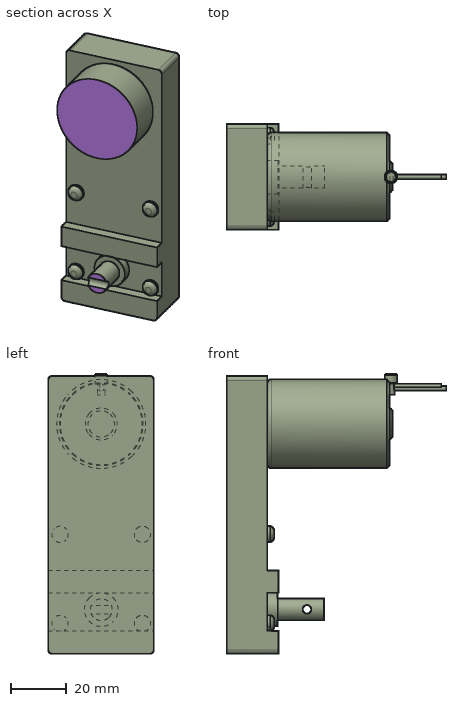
import cadquery as cq

HOUSING_DEPTH = 14.7
HOUSING_WIDTH = 38.0
HOUSING_HEIGHT = 99.9
CORNER_RADIUS = 1.5

FOOT_FRONT_X = 18.7
LOWER_FOOT_TOP_Z = 8.3
UPPER_FOOT_HEIGHT = 8.0

SHAFT_Z = 16.0
SHAFT_RADIUS = 3.9
SHAFT_END_X = 35.0
HUB_RADIUS = 6.0
HUB_FRONT_X = 18.3
PIN_HOLE_RADIUS = 1.5
PIN_HOLE_X = 28.9
UPPER_FOOT_BOTTOM_Z = SHAFT_Z + HUB_RADIUS

SCREW_RADIUS = 2.9
SCREW_RIM_HEIGHT = 1.0
SCREW_DOME_HEIGHT = 1.5
SCREW_TOP_RADIUS = 1.2
DOME_MID_FRACTION = 0.65
SCREW_Y = 14.8
SCREW_HEIGHTS = (11.1, 43.1)

MOTOR_Z = 82.7
MOTOR_RADIUS = 16.0
MOTOR_END_X = 58.6
MOTOR_ROUNDING = 1.3
MOTOR_CHAMFER = 1.0
BOSS_RADIUS = 5.7
BOSS_HEIGHT = 1.1
BOSS_CHAMFER = 1.0

TERMINAL_X = 59.1
STEM_RADIUS = 1.4
STEM_BOTTOM_Z = 93.1
HEAD_RADIUS = 2.3
HEAD_TOP_Z = 100.6
HEAD_BOTTOM_Z = 97.0
HEAD_TOP_CHAMFER = 0.5
HEAD_BOTTOM_CHAMFER = 0.4
LEAD_RADIUS = 0.9
LOWER_LEAD_Z = 95.4
LEAD_START_X = TERMINAL_X + STEM_RADIUS / 3
LOWER_LEAD_END_X = 79.0
LEAD_OFFSET_Z = 0.8
LEAD_STEP_X = 1.8


def rod_along_x(start_x, end_x, radius, z):
    """Cylinder parallel to X between two X positions."""
    return cq.Workplane("YZ", origin=(start_x, 0, z)).circle(radius).extrude(end_x - start_x)


def make_housing():
    """Box with two foot bars, all four edges along X rounded."""
    block = cq.Workplane("XY").box(
        FOOT_FRONT_X, HOUSING_WIDTH, HOUSING_HEIGHT, centered=(False, True, False)
    )
    block = block.edges("|X").fillet(CORNER_RADIUS)

    def recess(bottom_z, top_z):
        return cq.Workplane("XY", origin=(HOUSING_DEPTH, 0, bottom_z)).box(
            FOOT_FRONT_X - HOUSING_DEPTH, HOUSING_WIDTH, top_z - bottom_z,
            centered=(False, True, False),
        )

    between_feet = recess(LOWER_FOOT_TOP_Z, UPPER_FOOT_BOTTOM_Z)
    above_feet = recess(UPPER_FOOT_BOTTOM_Z + UPPER_FOOT_HEIGHT, HOUSING_HEIGHT)
    return block.cut(between_feet).cut(above_feet)


def make_output_shaft():
    """Hub and shaft, cross-drilled along Y."""
    hub = rod_along_x(HOUSING_DEPTH, HUB_FRONT_X, HUB_RADIUS, SHAFT_Z)
    shaft = rod_along_x(HOUSING_DEPTH, SHAFT_END_X, SHAFT_RADIUS, SHAFT_Z)
    pin_hole = (
        cq.Workplane("XZ", origin=(PIN_HOLE_X, 0, SHAFT_Z))
        .circle(PIN_HOLE_RADIUS)
        .extrude(SHAFT_RADIUS, both=True)
    )
    return hub.union(shaft).cut(pin_hole)


def make_cover_screw(y, z):
    """Low cylinder topped by a rounded crown with a flat top."""
    rim_x = HOUSING_DEPTH + SCREW_RIM_HEIGHT
    top_x = rim_x + SCREW_DOME_HEIGHT
    mid_x = rim_x + DOME_MID_FRACTION * SCREW_DOME_HEIGHT
    mid_radius = SCREW_TOP_RADIUS + DOME_MID_FRACTION * (SCREW_RADIUS - SCREW_TOP_RADIUS)
    profile = (
        cq.Workplane("XY")
        .moveTo(HOUSING_DEPTH, 0)
        .lineTo(HOUSING_DEPTH, SCREW_RADIUS)
        .lineTo(rim_x, SCREW_RADIUS)
        .threePointArc((mid_x, mid_radius), (top_x, SCREW_TOP_RADIUS))
        .lineTo(top_x, 0)
        .close()
    )
    return profile.revolve(360, (0, 0, 0), (1, 0, 0)).translate((0, y, z))


def make_motor():
    """Motor can with a rounded inner rim, a bevelled outer rim and a bevelled bearing boss."""
    can = rod_along_x(HOUSING_DEPTH, MOTOR_END_X, MOTOR_RADIUS, MOTOR_Z)
    can = can.faces("<X").edges().fillet(MOTOR_ROUNDING)
    can = can.faces(">X").edges().chamfer(MOTOR_CHAMFER)
    boss = rod_along_x(MOTOR_END_X, MOTOR_END_X + BOSS_HEIGHT, BOSS_RADIUS, MOTOR_Z)
    return can.union(boss.faces(">X").chamfer(BOSS_CHAMFER))


def make_terminal():
    """Vertical stem half sunk in the motor end, its round head and two leads along X."""
    stem = (
        cq.Workplane("XY", origin=(TERMINAL_X, 0, STEM_BOTTOM_Z))
        .circle(STEM_RADIUS)
        .extrude(HEAD_BOTTOM_Z - STEM_BOTTOM_Z)
    )
    head = (
        cq.Workplane("XY", origin=(TERMINAL_X, 0, HEAD_BOTTOM_Z))
        .circle(HEAD_RADIUS)
        .extrude(HEAD_TOP_Z - HEAD_BOTTOM_Z)
    )
    head = head.faces(">Z").chamfer(HEAD_TOP_CHAMFER)
    head = head.faces("<Z").chamfer(HEAD_BOTTOM_CHAMFER)
    lower_lead = rod_along_x(LEAD_START_X, LOWER_LEAD_END_X, LEAD_RADIUS, LOWER_LEAD_Z)
    upper_lead = rod_along_x(
        LEAD_START_X, LOWER_LEAD_END_X - LEAD_STEP_X, LEAD_RADIUS, LOWER_LEAD_Z + LEAD_OFFSET_Z
    )
    return stem.union(head).union(lower_lead).union(upper_lead)


result = make_housing().union(make_output_shaft()).union(make_motor()).union(make_terminal())
for screw_z in SCREW_HEIGHTS:
    for screw_y in (-SCREW_Y, SCREW_Y):
        result = result.union(make_cover_screw(screw_y, screw_z))